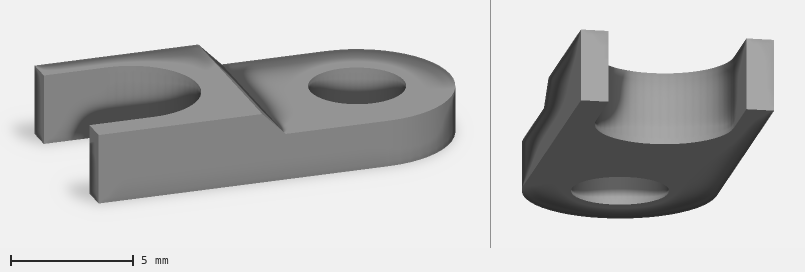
import cadquery as cq

length = 16.51
width = 8.0
end_radius = width / 2
thick_height = 3.0
thin_height = 2.0

hole_diameter = 4.0
eye_center_y = length - end_radius

slot_width = 5.71
slot_radius = slot_width / 2
slot_center_y = 2.77

thick_length = 7.05
ramp_length = thick_height - thin_height


def stepped_bar():
    """Side profile in the YZ plane, extruded across the full width."""
    return (
        cq.Workplane("YZ")
        .moveTo(0, 0)
        .lineTo(length, 0)
        .lineTo(length, thin_height)
        .lineTo(thick_length + ramp_length, thin_height)
        .lineTo(thick_length, thick_height)
        .lineTo(0, thick_height)
        .close()
        .extrude(end_radius, both=True)
    )


def rounded_outline():
    """Full-height block with the +Y end rounded across the width."""
    return (
        cq.Workplane("XY")
        .moveTo(-end_radius, 0)
        .lineTo(end_radius, 0)
        .lineTo(end_radius, eye_center_y)
        .threePointArc((0, length), (-end_radius, eye_center_y))
        .close()
        .extrude(thick_height)
    )


def eye_hole():
    return cq.Workplane("XY").center(0, eye_center_y).circle(hole_diameter / 2).extrude(thick_height)


def fork_slot():
    return (
        cq.Workplane("XY")
        .moveTo(-slot_radius, 0)
        .lineTo(slot_radius, 0)
        .lineTo(slot_radius, slot_center_y)
        .threePointArc((0, slot_center_y + slot_radius), (-slot_radius, slot_center_y))
        .close()
        .extrude(thick_height)
    )


result = stepped_bar().intersect(rounded_outline()).cut(eye_hole()).cut(fork_slot())